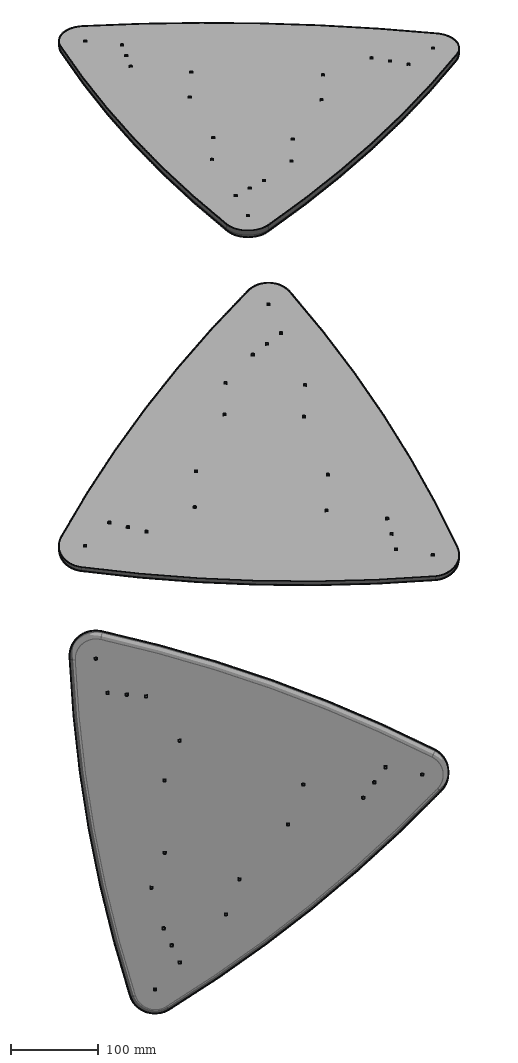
import cadquery as cq
import math

THICKNESS = 12.5
CORNER_DISTANCE = 228.5
CORNER_RADIUS = 30.0
SIDE_RADIUS = 1600.0
BOTTOM_FILLET = 6.35
CORNER_ANGLES = (90.0, 210.0, 330.0)
HALF_PITCH = 60.0

CORNER_HOLE_DIAMETER = 3.0
ROW_HOLE_DIAMETER = 3.2
MOUNT_HOLE_DIAMETER = 3.0

ROW_DISTANCE = 173.3
ROW_PITCH = 22.0
ROW_SLANT = 45.0

MOUNT_AXIS_ANGLE = CORNER_ANGLES[2]
MOUNT_CROSS_ANGLE = MOUNT_AXIS_ANGLE + 90.0
OUTER_MOUNT_ALONG = (73.5, 117.5)
OUTER_MOUNT_SPACING = 90.5
INNER_MOUNT_ALONG = (-56.4, -6.4)
INNER_MOUNT_SPACING = 150.0


def polar(distance, angle):
    """Point at a distance from the plate centre, angle in degrees from +X."""
    turn = math.radians(angle)
    return (distance * math.cos(turn), distance * math.sin(turn))


def shifted(point, distance, angle):
    """Point moved a distance in the direction of an angle."""
    step = polar(distance, angle)
    return (point[0] + step[0], point[1] + step[1])


def make_plate():
    half_chord = CORNER_DISTANCE * math.sin(math.radians(HALF_PITCH))
    chord_offset = CORNER_DISTANCE * math.cos(math.radians(HALF_PITCH))
    centre_gap = SIDE_RADIUS - CORNER_RADIUS
    half_sweep = math.degrees(math.asin(half_chord / centre_gap))
    side_middle = SIDE_RADIUS + chord_offset - math.sqrt(centre_gap**2 - half_chord**2)
    tangent_turn = HALF_PITCH - half_sweep

    first_corner = polar(CORNER_DISTANCE, CORNER_ANGLES[0])
    outline = cq.Workplane("XY").moveTo(
        *shifted(first_corner, CORNER_RADIUS, CORNER_ANGLES[0] - tangent_turn)
    )
    for index, angle in enumerate(CORNER_ANGLES):
        next_angle = CORNER_ANGLES[(index + 1) % len(CORNER_ANGLES)]
        corner = polar(CORNER_DISTANCE, angle)
        next_corner = polar(CORNER_DISTANCE, next_angle)
        outline = outline.threePointArc(
            polar(CORNER_DISTANCE + CORNER_RADIUS, angle),
            shifted(corner, CORNER_RADIUS, angle + tangent_turn),
        )
        outline = outline.threePointArc(
            polar(side_middle, angle + HALF_PITCH),
            shifted(next_corner, CORNER_RADIUS, next_angle - tangent_turn),
        )
    plate = outline.close().extrude(THICKNESS)
    return plate.faces("<Z").edges().fillet(BOTTOM_FILLET)


def corner_hole_points():
    return [polar(CORNER_DISTANCE, angle) for angle in CORNER_ANGLES]


def row_hole_points():
    points = []
    for angle in CORNER_ANGLES:
        middle = polar(ROW_DISTANCE, angle)
        for step in (-1, 0, 1):
            points.append(shifted(middle, step * ROW_PITCH, angle - ROW_SLANT))
    return points


def mount_hole_points():
    points = []
    for positions, spacing in (
        (OUTER_MOUNT_ALONG, OUTER_MOUNT_SPACING),
        (INNER_MOUNT_ALONG, INNER_MOUNT_SPACING),
    ):
        for along in positions:
            on_axis = polar(along, MOUNT_AXIS_ANGLE)
            for side in (-1, 1):
                points.append(shifted(on_axis, side * spacing / 2, MOUNT_CROSS_ANGLE))
    return points


def drill(body, points, diameter):
    cutters = cq.Workplane("XY").pushPoints(points).circle(diameter / 2).extrude(THICKNESS)
    return body.cut(cutters)


result = make_plate()
result = drill(result, corner_hole_points(), CORNER_HOLE_DIAMETER)
result = drill(result, row_hole_points(), ROW_HOLE_DIAMETER)
result = drill(result, mount_hole_points(), MOUNT_HOLE_DIAMETER)